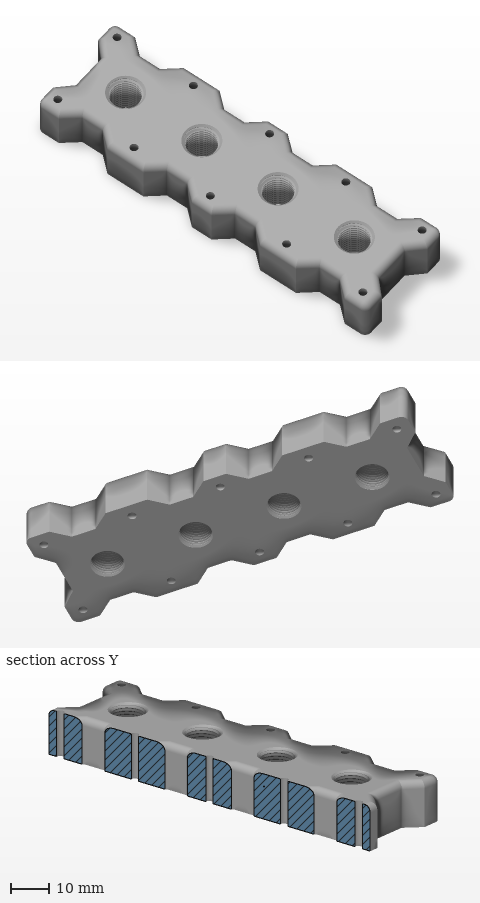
import cadquery as cq
import math

length = 109.68
width = 32.82
height = 12.9
edge_radius = 2.0

hole_pitch = 25.4
small_hole_diameter = 2.36
small_hole_columns = 5
threaded_hole_count = 4

side_recess_depth = 4.05
side_recess_centers = (11.35, 39.5)
side_recess_floor = 6.75
side_recess_mouth = 16.2
end_recess_depth = 4.3
end_recess_floor = 11.0
end_recess_mouth = 19.56

thread_minor_diameter = 8.57
thread_major_diameter = 9.78
thread_pitch = 0.907
thread_angle = 55.0
thread_overlap = 0.05
thread_start_angle = 300.0
thread_overrun = 2 * thread_pitch
countersink_diameter = 10.8
countersink_depth = (countersink_diameter - thread_minor_diameter) / 2


def recess_prism(floor, mouth, depth):
    """Trapezoidal recess opening toward +Y, with its mouth on the X axis."""
    return (
        cq.Workplane("XY")
        .polyline([(-mouth / 2, 0), (-floor / 2, -depth), (floor / 2, -depth), (mouth / 2, 0)])
        .close()
        .extrude(height)
    )


def scalloped_block():
    """Block with recesses along all four sides and a rounded top rim."""
    block = cq.Workplane("XY").box(length, width, height, centered=(True, True, False))
    block = block.edges("|Z").fillet(edge_radius)

    recess = recess_prism(side_recess_floor, side_recess_mouth, side_recess_depth)
    for center in side_recess_centers:
        for x in (-center, center):
            for turn in (0, 180):
                placed = recess.translate((x, width / 2, 0))
                block = block.cut(placed.rotate((0, 0, 0), (0, 0, 1), turn))

    recess = recess_prism(end_recess_floor, end_recess_mouth, end_recess_depth)
    for turn in (90, 270):
        placed = recess.translate((0, length / 2, 0))
        block = block.cut(placed.rotate((0, 0, 0), (0, 0, 1), turn))

    return block.faces(">Z").edges().fillet(edge_radius)


def small_holes():
    """Two rows of through holes near the long sides."""
    return (
        cq.Workplane("XY")
        .rarray(hole_pitch, hole_pitch, small_hole_columns, 2)
        .circle(small_hole_diameter / 2)
        .extrude(height)
    )


def thread_groove():
    """Helical groove with a trapezoidal section, running past both faces."""
    minor_radius = thread_minor_diameter / 2
    major_radius = thread_major_diameter / 2
    inner_radius = minor_radius - thread_overlap
    flank_slope = math.tan(math.radians(thread_angle / 2))
    flat = thread_pitch / 2 - (major_radius - minor_radius) * flank_slope
    inner_half = flat / 2 + (major_radius - inner_radius) * flank_slope
    path = cq.Wire.makeHelix(thread_pitch, height + 2 * thread_overrun, minor_radius)
    groove = (
        cq.Workplane("XZ")
        .polyline([
            (inner_radius, -inner_half),
            (major_radius, -flat / 2),
            (major_radius, flat / 2),
            (inner_radius, inner_half),
        ])
        .close()
        .sweep(cq.Workplane(path), isFrenet=True)
    )
    groove = groove.rotate((0, 0, 0), (0, 0, 1), thread_start_angle)
    return groove.translate((0, 0, -thread_overrun))


def cut_threaded_holes(block):
    """Row of threaded through holes, each countersunk at the top."""
    bore = cq.Workplane("XY").circle(thread_minor_diameter / 2).extrude(height)
    countersink = cq.Workplane(
        cq.Solid.makeCone(
            thread_minor_diameter / 2,
            countersink_diameter / 2,
            countersink_depth,
            cq.Vector(0, 0, height - countersink_depth),
        )
    )
    groove = thread_groove()
    for index in range(threaded_hole_count):
        x = (index - (threaded_hole_count - 1) / 2) * hole_pitch
        for cutter in (groove, bore, countersink):
            block = block.cut(cutter.translate((x, 0, 0)))
    return block


result = cut_threaded_holes(scalloped_block().cut(small_holes()))